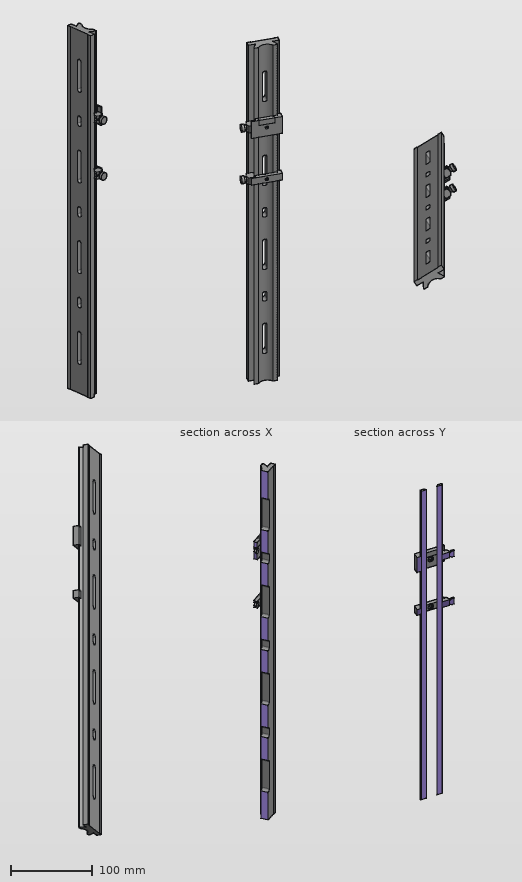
import cadquery as cq


rail_length = 500.0
rail_width = 40.0
flange_thickness = 6.5
rail_depth = 15.0
neck_width = 22.0
dovetail_width = 30.0
tip_height = 1.5
recess_width = 30.0
recess_depth = 0.5
groove_width = 19.0
groove_depth = 4.5

slot_width = 6.0
slot_pitch = 125.0
long_slot_length = 45.0
short_slot_length = 14.0
long_slot_heights = [(i - 1.5) * slot_pitch for i in range(4)]
short_slot_heights = [(i - 1) * slot_pitch for i in range(3)]

clamp_thickness = 5.0
clamp_back = rail_depth + clamp_thickness
lip_height = 3.0
seat_left = 14.0
seat_depth = 3.0
screw_hole_diameter = 4.0
counterbore_diameter = 7.5
counterbore_depth = 2.0
long_clamp_length = 25.0
long_clamp_z = 132.5
short_clamp_length = 10.0
short_clamp_z = 55.5

insert_width = 20.0
insert_length = 7.5

jaw_length = 10.0
jaw_front = 7.5
jaw_back = rail_depth + seat_depth
jaw_left = 14.0
jaw_end = 24.5
jaw_front_right = 23.0
jaw_bevel_top = 11.0
jaw_shoulder_y = 14.5
jaw_back_right = 22.5
jaw_hole_diameter = 4.0
jaw_hole_depth = 2.5
jaw_hole_x = 21.5

knob_axis_y = 12.5
knob_diameter = 10.0
knob_neck_diameter = 6.0
knob_rim_start = 27.5
knob_end = 31.0

half_neck = neck_width / 2
half_dovetail = dovetail_width / 2
tip_start = rail_depth - tip_height
flank_slope = (half_dovetail - half_neck) / (tip_start - flange_thickness)
lip_front = rail_depth - lip_height
lip_tip_x = half_neck + flank_slope * (lip_front - flange_thickness)
flank_contact_y = flange_thickness + (jaw_left - half_neck) / flank_slope


def make_rail():
    """Flange with a dovetail on its back, an arc groove behind and a shallow recess in front."""
    half_width = rail_width / 2
    half_groove = groove_width / 2
    half_recess = recess_width / 2
    rail = (
        cq.Workplane("XY", origin=(0, 0, -rail_length / 2))
        .moveTo(-half_width, 0)
        .lineTo(-half_recess, 0)
        .lineTo(-half_recess, recess_depth)
        .lineTo(half_recess, recess_depth)
        .lineTo(half_recess, 0)
        .lineTo(half_width, 0)
        .lineTo(half_width, flange_thickness)
        .lineTo(half_neck, flange_thickness)
        .lineTo(half_dovetail, tip_start)
        .lineTo(half_dovetail, rail_depth)
        .lineTo(half_groove, rail_depth)
        .threePointArc((0, rail_depth - groove_depth), (-half_groove, rail_depth))
        .lineTo(-half_dovetail, rail_depth)
        .lineTo(-half_dovetail, tip_start)
        .lineTo(-half_neck, flange_thickness)
        .lineTo(-half_width, flange_thickness)
        .close()
        .extrude(rail_length)
    )
    rail = rail.cut(slot_cutters(long_slot_length, long_slot_heights))
    return rail.cut(slot_cutters(short_slot_length, short_slot_heights))


def slot_cutters(length, heights):
    """Upright round-ended slots, long enough to pass through the rail."""
    return (
        cq.Workplane("XZ")
        .pushPoints([(0, z) for z in heights])
        .slot2D(length, slot_width, 90)
        .extrude(-rail_depth)
    )


def make_clamp(length, center_z):
    """Plate with a lip hooked over the -X flank, a jaw seat on +X and a counterbored hole."""
    half_width = rail_width / 2
    clamp = (
        cq.Workplane("XY", origin=(0, 0, center_z - length / 2))
        .moveTo(-half_width, clamp_back)
        .lineTo(-half_width, lip_front)
        .lineTo(-lip_tip_x, lip_front)
        .lineTo(-half_dovetail, tip_start)
        .lineTo(-half_dovetail, rail_depth)
        .lineTo(seat_left, rail_depth)
        .lineTo(seat_left, jaw_back)
        .lineTo(half_width, jaw_back)
        .lineTo(half_width, clamp_back)
        .close()
        .extrude(length)
    )
    front = cq.Workplane("XZ", origin=(0, rail_depth, center_z))
    hole = front.circle(screw_hole_diameter / 2).extrude(-clamp_thickness)
    counterbore = front.circle(counterbore_diameter / 2).extrude(-counterbore_depth)
    return clamp.cut(hole).cut(counterbore)


def make_insert():
    """Block that fills the notch in the upper end of the long clamp."""
    top_z = long_clamp_z + long_clamp_length / 2
    return cq.Workplane("XY").box(insert_width, clamp_thickness, insert_length).translate(
        (0, rail_depth + clamp_thickness / 2, top_z - insert_length / 2)
    )


def make_jaw(center_z):
    """Block that bears on the +X dovetail flank, with a bevelled nose and a blind hole in front."""
    jaw = (
        cq.Workplane("XY", origin=(0, 0, center_z - jaw_length / 2))
        .moveTo(jaw_left, jaw_front)
        .lineTo(jaw_front_right, jaw_front)
        .lineTo(jaw_end, jaw_bevel_top)
        .lineTo(jaw_end, jaw_shoulder_y)
        .lineTo(jaw_back_right, jaw_back)
        .lineTo(half_dovetail, jaw_back)
        .lineTo(half_dovetail, tip_start)
        .lineTo(jaw_left, flank_contact_y)
        .close()
        .extrude(jaw_length)
    )
    hole = (
        cq.Workplane("XZ", origin=(jaw_hole_x, jaw_front, center_z))
        .circle(jaw_hole_diameter / 2)
        .extrude(-jaw_hole_depth)
    )
    return jaw.cut(hole)


def make_knob(center_z):
    """Round knob on an X axis: a cone that widens to a plain rim."""
    return (
        cq.Workplane("XY", origin=(0, knob_axis_y, center_z))
        .moveTo(jaw_end, 0)
        .lineTo(jaw_end, knob_neck_diameter / 2)
        .lineTo(knob_rim_start, knob_diameter / 2)
        .lineTo(knob_end, knob_diameter / 2)
        .lineTo(knob_end, 0)
        .close()
        .revolve(360, (0, 0, 0), (1, 0, 0))
    )


rail = make_rail()
insert = make_insert()
long_clamp = make_clamp(long_clamp_length, long_clamp_z).cut(insert)
short_clamp = make_clamp(short_clamp_length, short_clamp_z)

clamp_heights = [long_clamp_z, short_clamp_z]
jaws = [make_jaw(z).val() for z in clamp_heights]
knobs = [make_knob(z).val() for z in clamp_heights]

result = cq.Compound.makeCompound(
    [rail.val(), long_clamp.val(), short_clamp.val(), insert.val(), *jaws, *knobs]
)